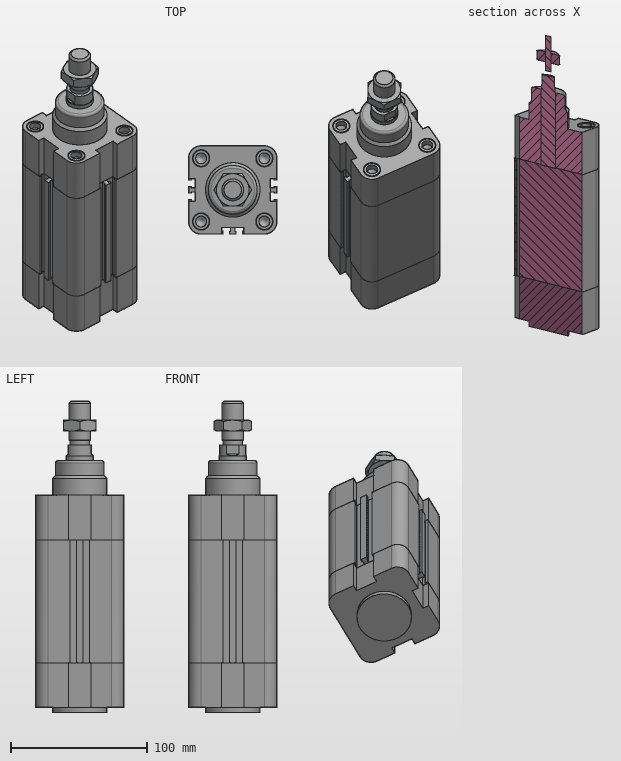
import cadquery as cq
import math

BODY_WIDTH = 65.0
CAP_LENGTH = 32.7
BARREL_LENGTH = 90.5
SLOT_DEPTH = 4.8

BOSS_DIAMETER = 40.0
REAR_BOSS_LENGTH = 4.0
FRONT_BOSS_LENGTH = 14.5
COLLAR_DIAMETER = 36.0
COLLAR_LENGTH = 11.2
BOSS_CHAMFER_HEIGHT = 2.0
COLLAR_FILLET = 2.0

CAP_SLOT_WIDTH = 16.7
T_SLOT_OPENING = 14.5
T_SLOT_INNER_WIDTH = 16.0
T_SLOT_LIP = 2.3
RIB_HEAD_WIDTH = 4.8
RIB_STEM_WIDTH = 3.5
RIB_HEAD_DEPTH = 2.0

HOLE_SPACING = 46.5
CORNER_RADIUS = (BODY_WIDTH - HOLE_SPACING) / 2
HOLE_DIAMETER = 8.0
HOLE_DEPTH = 4.5
DRILL_POINT_ANGLE = 118.0
GROOVE_OUTER_DIAMETER = 12.5
GROOVE_INNER_DIAMETER = 12.0
GROOVE_DEPTH = 0.5

TOTAL_LENGTH = 229.0
ROD_DIAMETER = 20.0
WRENCH_DIAMETER = 19.5
WRENCH_LENGTH = 8.2
WRENCH_FLATS = 17.2
FLAT_LENGTH = 6.9
RELIEF_DIAMETER = 14.5
RELIEF_LENGTH = 3.0
THREAD_DIAMETER = 16.0
THREAD_LENGTH = 32.0
THREAD_TOP_CHAMFER = 1.5
THREAD_END_CHAMFER = 0.7

NUT_FLATS = 24.0
NUT_HEIGHT = 8.0
NUT_TOP_GAP = 14.0
NUT_CHAMFER_ANGLE = 30.0
HEX_HALF_ANGLE = 30.0

REAR_CAP_Z = REAR_BOSS_LENGTH
BARREL_Z = REAR_CAP_Z + CAP_LENGTH
FRONT_CAP_Z = BARREL_Z + BARREL_LENGTH
FRONT_FACE_Z = FRONT_CAP_Z + CAP_LENGTH
THREAD_Z = TOTAL_LENGTH - THREAD_LENGTH
WRENCH_Z = THREAD_Z - WRENCH_LENGTH
NUT_Z = TOTAL_LENGTH - NUT_TOP_GAP - NUT_HEIGHT

SLOTTED_SIDES = (-90, 0, 90)


def disc(diameter, z, length):
    return cq.Workplane("XY").workplane(offset=z).circle(diameter / 2).extrude(length)


def square_body(z, length):
    body = cq.Workplane("XY").workplane(offset=z).rect(BODY_WIDTH, BODY_WIDTH).extrude(length)
    return body.edges("|Z").fillet(CORNER_RADIUS)


def side_bar(width, outer_depth, inner_depth, z, length):
    """Bar along the -Y side, spanning two depths measured inward from the side face."""
    center_y = -BODY_WIDTH / 2 + (outer_depth + inner_depth) / 2
    bar = cq.Workplane("XY").workplane(offset=z).center(0, center_y)
    return bar.rect(width, inner_depth - outer_depth).extrude(length)


def cut_slots(body, slot):
    for turn in SLOTTED_SIDES:
        body = body.cut(slot.rotate((0, 0, 0), (0, 0, 1), turn))
    return body


def slotted_cap(z):
    slot = side_bar(CAP_SLOT_WIDTH, 0, SLOT_DEPTH, z, CAP_LENGTH)
    return cut_slots(square_body(z, CAP_LENGTH), slot)


def screw_hole():
    """Cutter for one screw hole, pointing down from the front face."""
    radius = HOLE_DIAMETER / 2
    point_length = radius / math.tan(math.radians(DRILL_POINT_ANGLE / 2))
    return (
        cq.Workplane("XZ")
        .moveTo(0, 0)
        .lineTo(radius, 0)
        .lineTo(radius, -HOLE_DEPTH)
        .lineTo(0, -HOLE_DEPTH - point_length)
        .close()
        .revolve(360, (0, 0, 0), (0, 1, 0))
    )


def make_front_cap():
    cap = slotted_cap(FRONT_CAP_Z)
    boss = disc(BOSS_DIAMETER, FRONT_FACE_Z, FRONT_BOSS_LENGTH)
    boss_step = (BOSS_DIAMETER - COLLAR_DIAMETER) / 2
    boss = boss.faces(">Z").chamfer(BOSS_CHAMFER_HEIGHT, boss_step)
    collar = disc(COLLAR_DIAMETER, FRONT_FACE_Z, FRONT_BOSS_LENGTH + COLLAR_LENGTH)
    collar = collar.faces(">Z").edges().fillet(COLLAR_FILLET)
    cap = cap.union(boss).union(collar)
    hole = screw_hole()
    groove = disc(GROOVE_OUTER_DIAMETER, -GROOVE_DEPTH, GROOVE_DEPTH)
    groove = groove.cut(disc(GROOVE_INNER_DIAMETER, -GROOVE_DEPTH, GROOVE_DEPTH))
    for x in (-HOLE_SPACING / 2, HOLE_SPACING / 2):
        for y in (-HOLE_SPACING / 2, HOLE_SPACING / 2):
            corner = (x, y, FRONT_FACE_Z)
            cap = cap.cut(hole.translate(corner)).cut(groove.translate(corner))
    rod_bore = disc(ROD_DIAMETER, FRONT_CAP_Z, TOTAL_LENGTH - FRONT_CAP_Z)
    return cap.cut(rod_bore)


def make_barrel():
    opening = side_bar(T_SLOT_OPENING, 0, SLOT_DEPTH, BARREL_Z, BARREL_LENGTH)
    undercut = side_bar(T_SLOT_INNER_WIDTH, T_SLOT_LIP, SLOT_DEPTH, BARREL_Z, BARREL_LENGTH)
    rib_head = side_bar(RIB_HEAD_WIDTH, 0, RIB_HEAD_DEPTH, BARREL_Z, BARREL_LENGTH)
    rib_stem = side_bar(RIB_STEM_WIDTH, RIB_HEAD_DEPTH, SLOT_DEPTH, BARREL_Z, BARREL_LENGTH)
    slot = opening.union(undercut).cut(rib_head).cut(rib_stem)
    return cut_slots(square_body(BARREL_Z, BARREL_LENGTH), slot)


def make_rear_cap():
    return slotted_cap(REAR_CAP_Z).union(disc(BOSS_DIAMETER, 0, REAR_BOSS_LENGTH + CAP_LENGTH))


def wrench_flat():
    """Cutter for the flat on the +Y side, whose lower end runs out at 45 degrees."""
    flat_y = WRENCH_FLATS / 2
    outer_y = WRENCH_DIAMETER / 2
    flat_z = THREAD_Z - FLAT_LENGTH
    profile = [
        (flat_y, THREAD_Z),
        (flat_y, flat_z),
        (outer_y, flat_z - (outer_y - flat_y)),
        (outer_y, THREAD_Z),
    ]
    return cq.Workplane("YZ").polyline(profile).close().extrude(WRENCH_DIAMETER / 2, both=True)


def make_rod():
    shank = disc(ROD_DIAMETER, FRONT_CAP_Z, WRENCH_Z - FRONT_CAP_Z)
    wrench = disc(WRENCH_DIAMETER, WRENCH_Z, WRENCH_LENGTH)
    flat = wrench_flat()
    wrench = wrench.cut(flat).cut(flat.mirror("XZ"))
    relief = disc(RELIEF_DIAMETER, THREAD_Z, RELIEF_LENGTH)
    thread = disc(THREAD_DIAMETER, THREAD_Z + RELIEF_LENGTH, THREAD_LENGTH - RELIEF_LENGTH)
    thread = thread.faces(">Z").chamfer(THREAD_TOP_CHAMFER)
    thread = thread.faces("<Z").chamfer(THREAD_END_CHAMFER)
    return shank.union(wrench).union(relief).union(thread)


def make_nut():
    corner_diameter = NUT_FLATS / math.cos(math.radians(HEX_HALF_ANGLE))
    blank = cq.Workplane("XY").workplane(offset=NUT_Z).polygon(6, corner_diameter).extrude(NUT_HEIGHT)
    chamfer_width = (corner_diameter - NUT_FLATS) / 2
    chamfer_height = chamfer_width * math.tan(math.radians(NUT_CHAMFER_ANGLE))
    envelope = disc(corner_diameter, NUT_Z, NUT_HEIGHT)
    envelope = envelope.faces("<Z or >Z").chamfer(chamfer_height, chamfer_width)
    thread_bore = disc(THREAD_DIAMETER, NUT_Z, NUT_HEIGHT)
    return blank.intersect(envelope).cut(thread_bore)


front_cap = make_front_cap()
barrel = make_barrel()
rear_cap = make_rear_cap()
rod = make_rod()
nut = make_nut()

result = cq.Compound.makeCompound(
    [front_cap.val(), barrel.val(), rear_cap.val(), rod.val(), nut.val()]
)